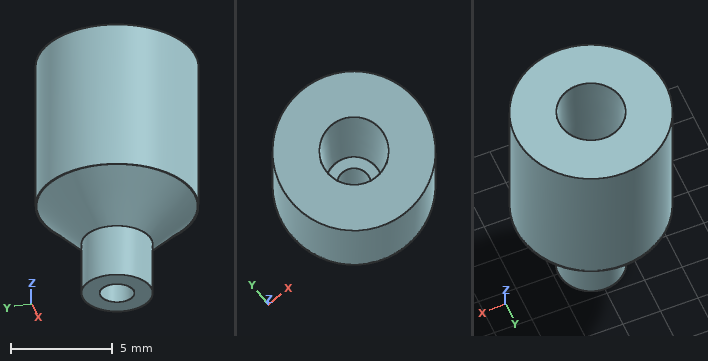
import cadquery as cq
import math

body_diameter = 8.0
stem_diameter = 3.5
total_height = 13.0
body_height = 8.0
shoulder_ledge = 0.05

socket_mouth_diameter = 3.4
socket_taper_angle = 2.0
socket_depth = body_height
through_hole_diameter = 1.7

body_radius = body_diameter / 2
stem_radius = stem_diameter / 2
shoulder_radius = body_radius - shoulder_ledge
socket_mouth_radius = socket_mouth_diameter / 2
socket_floor_radius = socket_mouth_radius - socket_depth * math.tan(math.radians(socket_taper_angle))
through_hole_radius = through_hole_diameter / 2

shoulder_height = shoulder_radius - stem_radius
shoulder_top_z = total_height - body_height
stem_top_z = shoulder_top_z - shoulder_height
socket_floor_z = total_height - socket_depth


def revolve_about_z(profile):
    """Turn a closed (radius, z) outline about the Z axis."""
    return cq.Workplane("XZ").polyline(profile).close().revolve(360, (0, 0), (0, 1))


def turned_blank():
    """Stem, conical shoulder and cylindrical body."""
    return revolve_about_z([
        (0, 0),
        (stem_radius, 0),
        (stem_radius, stem_top_z),
        (shoulder_radius, shoulder_top_z),
        (body_radius, shoulder_top_z),
        (body_radius, total_height),
        (0, total_height),
    ])


def stepped_bore():
    """Tapered socket from the top, continued by the through hole."""
    return revolve_about_z([
        (0, 0),
        (through_hole_radius, 0),
        (through_hole_radius, socket_floor_z),
        (socket_floor_radius, socket_floor_z),
        (socket_mouth_radius, total_height),
        (0, total_height),
    ])


result = turned_blank().cut(stepped_bore())